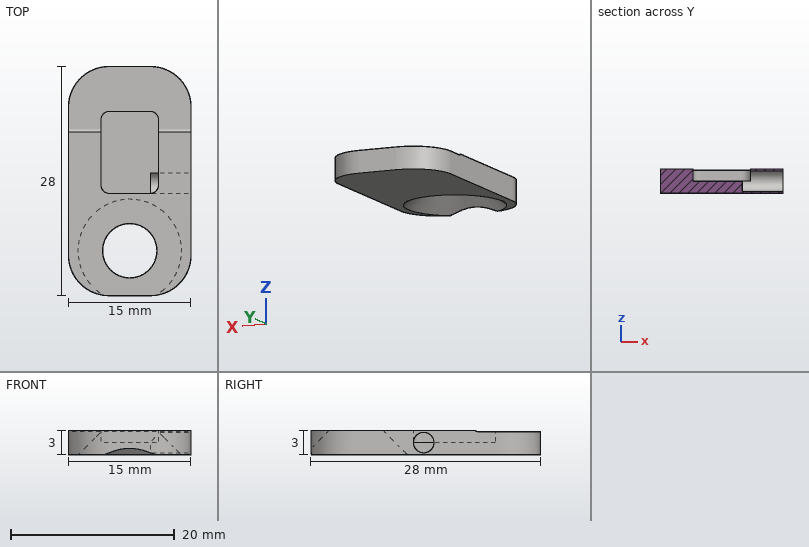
import cadquery as cq
import math

WIDTH = 15.0
LENGTH = 28.0
THICKNESS = 3.0
CORNER_RADIUS = 5.0

STEP_DEPTH = 0.15
STEP_START_Y = 6.0
STEP_ARC_RADIUS = 0.5

POCKET_WIDTH = 7.0
POCKET_LENGTH = 10.0
POCKET_CENTER_Y = 3.5
POCKET_CORNER_RADIUS = 1.0
POCKET_FLOOR_Z = 1.5

CHANNEL_DIAMETER = 2.5
CHANNEL_OVERLAP = 1.0

SCREW_HOLE_Y = -8.5
SCREW_HOLE_DIAMETER = 6.6
COUNTERSINK_DIAMETER = SCREW_HOLE_DIAMETER + 2 * THICKNESS


def make_plate():
    """Plate with fully rounded vertical corners."""
    plate = cq.Workplane("XY").box(WIDTH, LENGTH, THICKNESS, centered=(True, True, False))
    return plate.edges("|Z").fillet(CORNER_RADIUS)


def make_step():
    """Thin slab, rounded on its -Y side, removed from the +Y end of the top."""
    lowered_z = THICKNESS - STEP_DEPTH
    arc_center_z = lowered_z + STEP_ARC_RADIUS
    arc_length_y = math.sqrt(STEP_ARC_RADIUS**2 - (arc_center_z - THICKNESS) ** 2)
    arc_end_y = STEP_START_Y + arc_length_y
    return (
        cq.Workplane("YZ")
        .moveTo(STEP_START_Y, THICKNESS)
        .radiusArc((arc_end_y, lowered_z), -STEP_ARC_RADIUS)
        .lineTo(LENGTH / 2, lowered_z)
        .lineTo(LENGTH / 2, THICKNESS)
        .close()
        .extrude(WIDTH / 2, both=True)
    )


def make_pocket():
    """Rounded rectangular block reaching from the pocket floor to the top."""
    block = (
        cq.Workplane("XY", origin=(0, POCKET_CENTER_Y, POCKET_FLOOR_Z))
        .rect(POCKET_WIDTH, POCKET_LENGTH)
        .extrude(THICKNESS - POCKET_FLOOR_Z)
    )
    return block.edges("|Z").fillet(POCKET_CORNER_RADIUS)


def make_channel():
    """Cylinder along X, tangent to the -Y wall of the pocket, centred in the thickness."""
    start_x = POCKET_WIDTH / 2 - CHANNEL_OVERLAP
    pocket_wall_y = POCKET_CENTER_Y - POCKET_LENGTH / 2
    center_y = pocket_wall_y + CHANNEL_DIAMETER / 2
    return (
        cq.Workplane("YZ", origin=(start_x, center_y, THICKNESS / 2))
        .circle(CHANNEL_DIAMETER / 2)
        .extrude(WIDTH / 2 - start_x)
    )


def make_screw_hole():
    """Cone that tapers from the countersink below to the hole size at the top."""
    return (
        cq.Workplane("XY", origin=(0, SCREW_HOLE_Y, 0))
        .circle(COUNTERSINK_DIAMETER / 2)
        .workplane(offset=THICKNESS)
        .circle(SCREW_HOLE_DIAMETER / 2)
        .loft(ruled=True)
    )


result = (
    make_plate()
    .cut(make_step())
    .cut(make_pocket())
    .cut(make_channel())
    .cut(make_screw_hole())
)